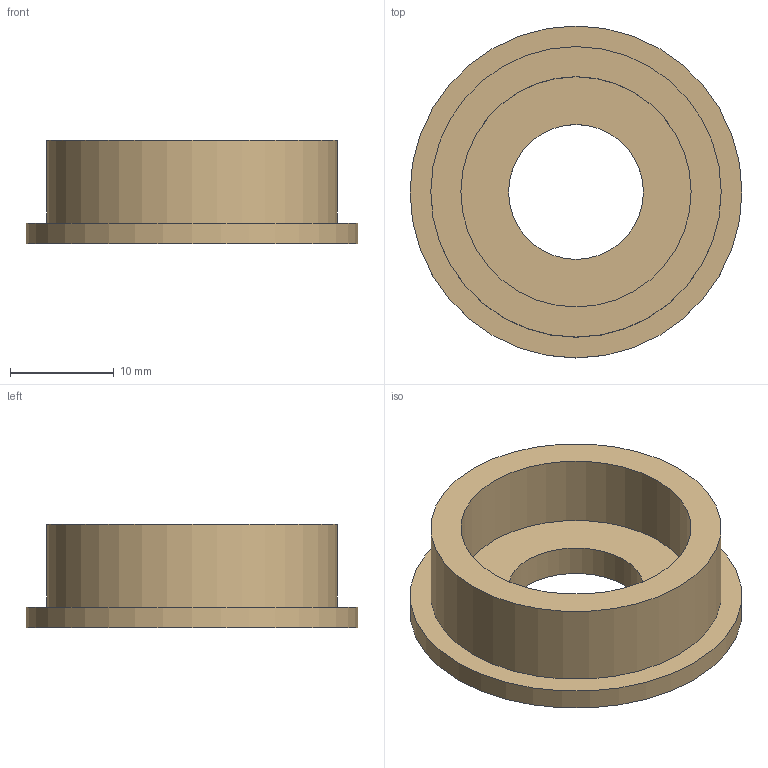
import cadquery as cq

flange_diameter = 32.0
flange_thickness = 2.0
body_diameter = 28.0
total_height = 10.0
pocket_diameter = 22.2
pocket_depth = 7.0
bore_diameter = 13.0

floor_thickness = total_height - pocket_depth


def cylinder(diameter, height, base_z=0.0):
    """Upright cylinder centred on the Z axis, starting at base_z."""
    return cq.Workplane("XY").workplane(offset=base_z).circle(diameter / 2).extrude(height)


flange = cylinder(flange_diameter, flange_thickness)
body = cylinder(body_diameter, total_height)

pocket = cylinder(pocket_diameter, pocket_depth, floor_thickness)
bore = cylinder(bore_diameter, total_height)

result = flange.union(body).cut(pocket).cut(bore)